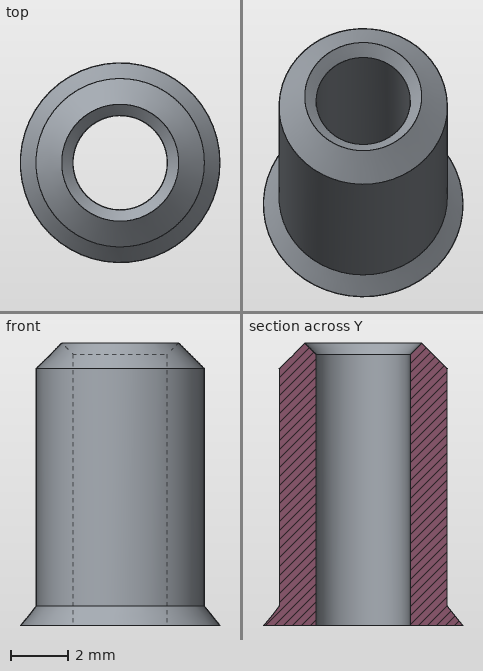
import cadquery as cq

total_height = 9.9
body_diameter = 5.9
flange_diameter = 7.0
flange_height = 0.68
bore_diameter = 3.3
rim_diameter = 4.1

body_radius = body_diameter / 2
flange_radius = flange_diameter / 2
bore_radius = bore_diameter / 2
rim_radius = rim_diameter / 2

nose_chamfer = body_radius - rim_radius
bore_chamfer = rim_radius - bore_radius

wall_section = [
    (bore_radius, 0),
    (flange_radius, 0),
    (body_radius, flange_height),
    (body_radius, total_height - nose_chamfer),
    (rim_radius, total_height),
    (bore_radius, total_height - bore_chamfer),
]

result = cq.Workplane("XZ").polyline(wall_section).close().revolve(360, (0, 0), (0, 1))